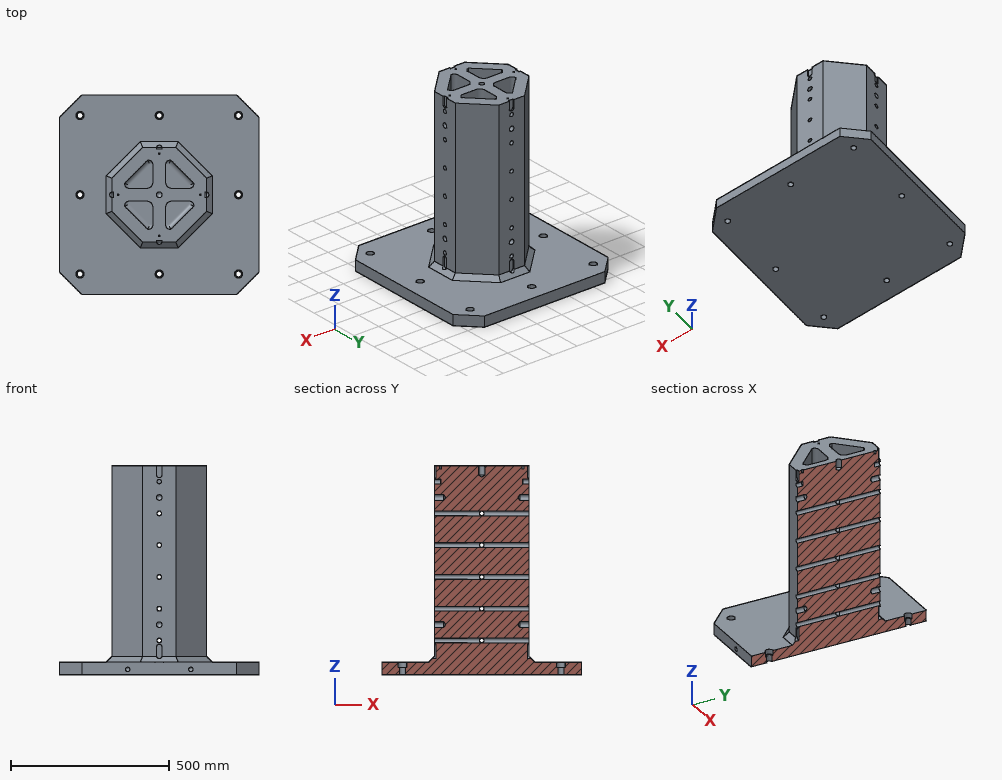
import cadquery as cq
import math

total_height = 660.0
plate_width = 630.0
plate_thickness = 40.0
plate_corner_cut = 70.5
half_plate = plate_width / 2

column_width = 299.5
column_face_width = 104.0
flare_size = 18.0
half_column = column_width / 2
column_height = total_height - plate_thickness

bolt_spacing = 250.0
bolt_diameter = 18.0
bolt_recess_diameter = 26.0
bolt_recess_depth = 17.0
edge_hole_diameter = 14.0
edge_hole_depth = 26.5
edge_hole_offset = 99.5
edge_hole_height = 17.0

pocket_depth = column_height
rib_width = 40.0
pocket_wall_distance = 103.0
pocket_inner_radius = 20.0
pocket_end = 109.5
pocket_tip_radius = 15.0
pocket_floor_radius = 15.0

thread_diameter = 18.0
thread_depth = 30.0
drill_half_angle = math.radians(59)
pin_diameter = 5.0
pin_depth = 10.0
pin_radius = 130.0
cross_hole_diameter = 14.0
blind_hole_depth = 20.0
hole_pitch = 50.0
blind_step = 1
thread_steps = (2, 10)
through_steps = (3, 5, 7, 9, 11)

slot_width = 18.0
slot_depth = 5.0
top_slot_length = 37.5
bottom_slot_top = 563.5
bottom_slot_bottom = 608.5


def cut_corner_square(width, corner_cut, z):
    """Outline of a square with its corners cut off at 45 degrees."""
    half = width / 2
    flat = half - corner_cut
    points = [
        (half, -flat), (half, flat), (flat, half), (-flat, half),
        (-half, flat), (-half, -flat), (-flat, -half), (flat, -half),
    ]
    return cq.Workplane("XY").workplane(offset=z).polyline(points).close()


def four_around(body):
    """The body repeated every quarter turn about the column axis."""
    copies = body
    for turn in (90, 180, 270):
        copies = copies.union(body.rotate((0, 0, 0), (0, 0, 1), turn))
    return copies


def drilled_hole(diameter, depth):
    """Blind hole along -Z from the origin, with a conical drill end."""
    radius = diameter / 2
    tip = radius / math.tan(drill_half_angle)
    profile = [(0, 0), (radius, 0), (radius, -depth), (0, -depth - tip)]
    return cq.Workplane("XZ").polyline(profile).close().revolve(360, (0, 0, 0), (0, 1, 0))


def into_front(body, x, face_y, z):
    """Turn a body pointing along -Z so that it points along +Y, and place it."""
    return body.rotate((0, 0, 0), (1, 0, 0), 90).translate((x, face_y, z))


def make_plate():
    plate = cut_corner_square(plate_width, plate_corner_cut, 0).extrude(plate_thickness)
    steps = (-bolt_spacing, 0, bolt_spacing)
    places = [(x, y) for x in steps for y in steps if (x, y) != (0, 0)]
    plate = (
        plate.faces(">Z").workplane(origin=(0, 0, plate_thickness)).pushPoints(places)
        .cboreHole(bolt_diameter, bolt_recess_diameter, bolt_recess_depth)
    )
    for x in (-edge_hole_offset, edge_hole_offset):
        hole = drilled_hole(edge_hole_diameter, edge_hole_depth)
        plate = plate.cut(into_front(hole, x, -half_plate, edge_hole_height))
    return plate


def make_column():
    corner_cut = (column_width - column_face_width) / 2
    column = cut_corner_square(column_width, corner_cut, plate_thickness).extrude(column_height)

    flare_width = column_width + 2 * flare_size
    flare_cut = corner_cut + flare_size * (2 - math.sqrt(2))
    flare = (
        cut_corner_square(flare_width, flare_cut, plate_thickness)
        .extrude(flare_size, taper=45)
    )
    return column.union(flare)


def make_pocket():
    """Triangular pocket with blunt tips, its floor rounded along the diagonal wall and the tips."""
    inner = rib_width / 2
    tip_side = pocket_wall_distance * math.sqrt(2) - pocket_end
    floor = total_height - pocket_depth
    sharp_pocket = (
        cq.Workplane("XY").workplane(offset=floor)
        .polyline([
            (inner, inner), (pocket_end, inner), (pocket_end, tip_side),
            (tip_side, pocket_end), (inner, pocket_end),
        ])
        .close().extrude(pocket_depth)
    )
    outer_floor_edges = sharp_pocket.faces("<Z").edges(">X or >Y or >(1, 1, 0)")
    floor_rounded = outer_floor_edges.fillet(pocket_floor_radius)

    def upright_edge(x, y):
        middle = (x, y, floor + pocket_depth / 2)
        return cq.selectors.NearestToPointSelector(middle)

    sides_rounded = sharp_pocket.edges(upright_edge(inner, inner)).fillet(pocket_inner_radius)
    for x, y in ((pocket_end, inner), (inner, pocket_end)):
        sides_rounded = sides_rounded.edges(upright_edge(x, y)).fillet(pocket_tip_radius)
    return floor_rounded.intersect(sides_rounded)


def make_top_features():
    """Pockets, pin holes and the threaded centre hole in the column top."""
    pin = (
        cq.Workplane("XY").workplane(offset=total_height)
        .center(0, -pin_radius).circle(pin_diameter / 2).extrude(-pin_depth)
    )
    center = drilled_hole(thread_diameter, thread_depth).translate((0, 0, total_height))
    return four_around(make_pocket().union(pin)).union(center)


def make_face_slot(top, bottom, height_over_face):
    """Key slot in the front column face with a round lower end."""
    radius = slot_width / 2
    slot = (
        cq.Workplane("XZ", origin=(0, slot_depth - half_column, 0))
        .moveTo(-radius, top).lineTo(-radius, bottom + radius)
        .threePointArc((0, bottom), (radius, bottom + radius))
        .lineTo(radius, top)
    )
    if top < total_height:
        slot = slot.threePointArc((0, top + radius), (-radius, top))
    return slot.close().extrude(slot_depth + height_over_face)


def make_face_features():
    """Key slots and holes of the front column face."""
    features = make_face_slot(total_height, total_height - top_slot_length, 0)
    lower_top = total_height - bottom_slot_top - slot_width / 2
    lower_bottom = total_height - bottom_slot_bottom
    features = features.union(make_face_slot(lower_top, lower_bottom, flare_size))

    for step in thread_steps:
        hole = drilled_hole(thread_diameter, thread_depth)
        z = total_height - step * hole_pitch
        features = features.union(into_front(hole, 0, -half_column, z))

    depths = {step: half_column for step in through_steps}
    depths[blind_step] = blind_hole_depth
    for step, depth in depths.items():
        z = total_height - step * hole_pitch
        hole = cq.Workplane("XY").circle(cross_hole_diameter / 2).extrude(-depth)
        features = features.union(into_front(hole, 0, -half_column, z))
    return features


body = make_plate().union(make_column())
result = body.cut(make_top_features()).cut(four_around(make_face_features()))